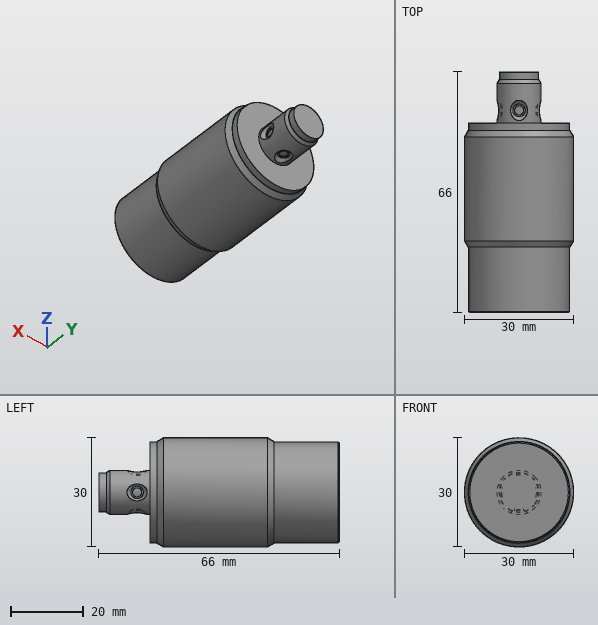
import cadquery as cq
import math

total_length = 66.0
barrel_length = 17.95
flange_start = 50.0
flange_end = 52.0
tip_length = 2.05
front_chamfer = 0.3

barrel_radius = 13.85
body_diameter = 30.0
body_radius = body_diameter / 2
shoulder_radius = 14.0
neck_radius = 6.1
neck_shoulder_radius = 5.5
tip_radius = 5.35

taper_slope = math.tan(math.radians(30))
body_taper = (body_radius - shoulder_radius) / taper_slope
neck_taper = (neck_radius - neck_shoulder_radius) / taper_slope

window_count = 4
window_position = 55.5
window_floor = 5.0
floor_radius = 1.7
window_hole_radius = 1.25
core_radius = 4.75


def turned_body():
    tip_start = total_length - tip_length
    profile = [
        (0, 0),
        (barrel_radius - front_chamfer, 0),
        (barrel_radius, front_chamfer),
        (barrel_radius, barrel_length),
        (shoulder_radius, barrel_length),
        (body_radius, barrel_length + body_taper),
        (body_radius, flange_start - body_taper),
        (shoulder_radius, flange_start),
        (barrel_radius, flange_start),
        (barrel_radius, flange_end),
        (neck_radius, flange_end),
        (neck_radius, tip_start - neck_taper),
        (neck_shoulder_radius, tip_start),
        (tip_radius, tip_start),
        (tip_radius, total_length),
        (0, total_length),
    ]
    return cq.Workplane("XY").polyline(profile).close().revolve(360, (0, 0, 0), (0, 1, 0))


def window_cutter():
    """90-degree countersink and its small hole, pointing along +Z and stopping at the core."""
    rim_radius = floor_radius + neck_radius - window_floor
    profile = [
        (0, 0),
        (window_hole_radius, 0),
        (window_hole_radius, window_floor),
        (floor_radius, window_floor),
        (rim_radius, neck_radius),
        (0, neck_radius),
    ]
    cutter = cq.Workplane("XZ").polyline(profile).close().revolve(360, (0, 0, 0), (0, 1, 0))
    core = cq.Workplane("XZ").circle(core_radius).extrude(2 * window_hole_radius, both=True)
    return cutter.cut(core).translate((0, window_position, 0))


result = turned_body()
window = window_cutter()
for index in range(window_count):
    angle = index * 360 / window_count
    result = result.cut(window.rotate((0, 0, 0), (0, 1, 0), angle))